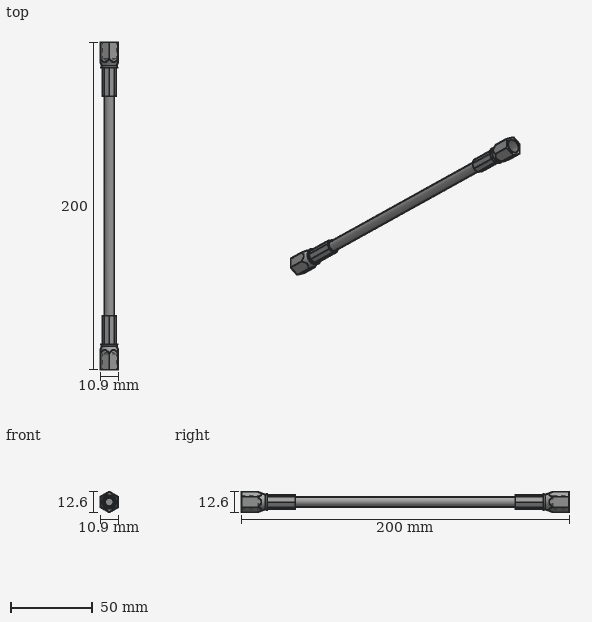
import cadquery as cq

total_length = 200.0
half_length = total_length / 2

hose_diameter = 6.4

nut_across_corners = 12.6
nut_sides = 6
nut_prism_length = 10.0

neck_diameter = 9.2
neck_distance = 14.6
collar_diameter = 10.2
collar_distance = 15.8

sleeve_across_corners = 8.66
sleeve_sides = 8
sleeve_distance = 33.0

bore_diameter = 8.4
bore_depth = 10.0
seat_diameter = 6.5
seat_floor_diameter = 5.0
seat_depth = (seat_diameter - seat_floor_diameter) / 2


def prism(sides, across_corners, distance, length):
    """Regular prism along +Y, with a corner on +Z, starting `distance` in from the -Y end."""
    plane = cq.Plane(origin=(0, distance - half_length, 0), xDir=(0, 0, 1), normal=(0, 1, 0))
    return cq.Workplane(plane).polygon(sides, across_corners).extrude(length)


def turned(profile):
    """Body turned about Y from (radius, distance in from the -Y end) points."""
    points = [(radius, distance - half_length) for radius, distance in profile]
    return cq.Workplane("XY").polyline(points).close().revolve(360, (0, 0, 0), (0, 1, 0))


def make_nut():
    """Hexagonal nut whose corners run into a taper, down to the neck and up to the collar."""
    hexagon = prism(nut_sides, nut_across_corners, 0, collar_distance)
    envelope = turned([
        (0, 0),
        (nut_across_corners / 2, 0),
        (nut_across_corners / 2, nut_prism_length),
        (neck_diameter / 2, neck_distance),
        (collar_diameter / 2, collar_distance),
        (0, collar_distance),
    ])
    return hexagon.intersect(envelope)


def make_bore():
    """Bore with a flat step and a conical seat at its bottom."""
    return turned([
        (0, 0),
        (bore_diameter / 2, 0),
        (bore_diameter / 2, bore_depth),
        (seat_diameter / 2, bore_depth),
        (seat_floor_diameter / 2, bore_depth + seat_depth),
        (0, bore_depth + seat_depth),
    ])


def make_fitting():
    """Complete end fitting at the -Y end of the hose."""
    sleeve = prism(sleeve_sides, sleeve_across_corners, collar_distance, sleeve_distance - collar_distance)
    return make_nut().union(sleeve).cut(make_bore())


def make_hose():
    """Plain hose between the two sleeves."""
    hose_length = total_length - 2 * sleeve_distance
    return cq.Workplane("XZ").circle(hose_diameter / 2).extrude(hose_length / 2, both=True)


fitting = make_fitting()
result = make_hose().union(fitting).union(fitting.mirror("XZ"))